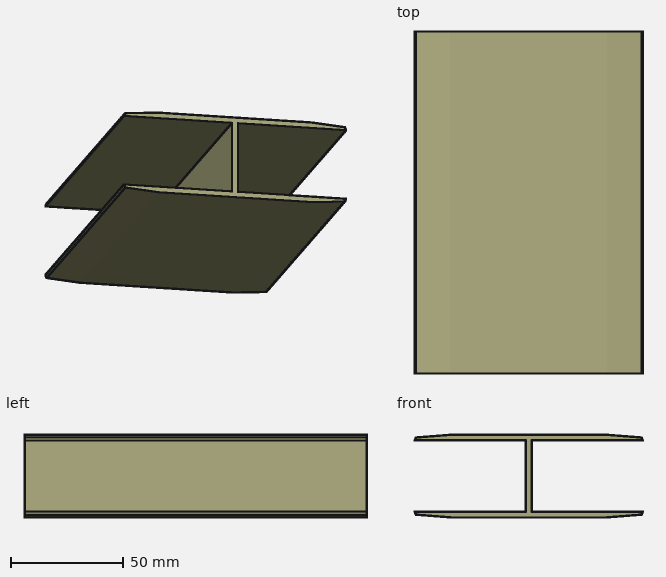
import cadquery as cq

width = 101.7
length = 152.4
height = 36.9

web_thickness = 2.7
flange_thickness = 2.6
lip_thickness = 1.4
flat_width = 69.8
lip_inset = 0.6

half_width = width / 2
half_lip = half_width - lip_inset
half_flat = flat_width / 2
half_height = height / 2
inner_z = half_height - flange_thickness


def extrude_along_y(profile):
    """Extrude an XZ profile over the full length, centred on the origin."""
    return profile.extrude(length / 2, both=True)


def make_flange():
    """Upper flange: flat inside, tapering on the outside to a thin bevelled lip at each edge."""
    lip_z = inner_z + lip_thickness
    profile = (
        cq.Workplane("XZ")
        .moveTo(-half_width, inner_z)
        .lineTo(half_width, inner_z)
        .lineTo(half_lip, lip_z)
        .lineTo(half_flat, half_height)
        .lineTo(-half_flat, half_height)
        .lineTo(-half_lip, lip_z)
        .close()
    )
    return extrude_along_y(profile)


web = extrude_along_y(cq.Workplane("XZ").rect(web_thickness, 2 * inner_z))
upper_flange = make_flange()
lower_flange = upper_flange.mirror("XY")

result = web.union(upper_flange).union(lower_flange)